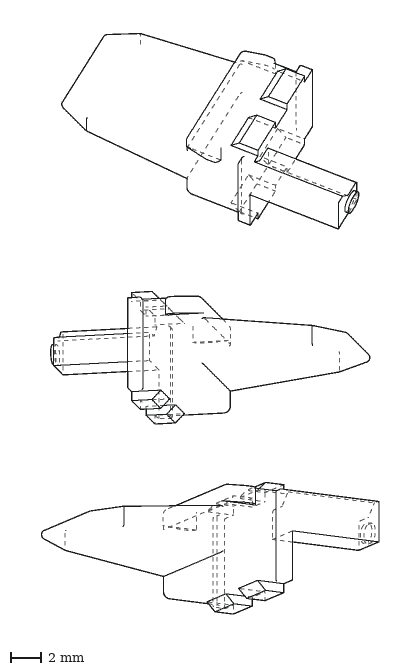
import cadquery as cq
import math

LENGTH = 21.6
FLANGE_WIDTH = 9.45
OVERALL_HEIGHT = 7.4
EDGE_RADIUS = 0.13
TOLERANCE = 0.002

BODY_WIDTH = 8.16
TIP_LENGTH = 2.3
TIP_WIDTH = 6.45
TIP_RADIUS = 0.3
BLADE_BREAK_HEIGHT = 1.38
BLADE_ROOT_HEIGHT = 3.22
BLADE_EMBEDDING = 1.08

BLOCK_START = 9.72
BLOCK_END = 14.77
BLOCK_HEIGHT = 6.18
BLOCK_TOP = BLOCK_HEIGHT / 2
BLOCK_FRONT_RADIUS = 0.48
FLANGE_START = 13.85

EAR_BOTTOM = 1.9
EAR_WIDTH = 8.9
EAR_FLAT_START = 11.38
EAR_FLAT_END = 12.1
EAR_END = 12.31
EAR_CORNER_RADIUS = 0.32

LATCH_LENGTH = 2.0
LATCH_WIDTH = 2.64
LATCH_SPACING = 4.38
LATCH_HEIGHT = (OVERALL_HEIGHT - BLOCK_HEIGHT) / 2

ARM_END = 21.35
ARM_OUTER_Y = -FLANGE_WIDTH / 2
ARM_WIDTH = 2.8
ARM_HEIGHT = 2.8
ARM_WALL = 0.65
ARM_LEDGE_DROP = 0.82
ARM_INNER_RADIUS = 0.25
ARM_GROOVE_RADIUS = 0.2

PAD_WIDTH = 1.6
PAD_HEIGHT = 1.35
PAD_Y = -2.94
PAD_Z = 1.25


def prism_from_plan(points, bottom, top):
    """Extrude a closed XY outline between two heights."""
    return cq.Workplane("XY").workplane(offset=bottom).polyline(points).close().extrude(top - bottom)


def mirrored_outline(half_outline):
    """Close a half outline by reflecting it about the X axis."""
    return half_outline + [(x, -y) for x, y in reversed(half_outline)]


def edge_at(x, y, z):
    """Select the edge whose middle is nearest to a point."""
    return cq.selectors.NearestToPointSelector((x, y, z))


def same_side_edges(body, wanted):
    """List the edges that stay on one side of Y = 0 and pass a test on their middle point."""
    return [
        edge for edge in body.edges().vals()
        if edge.startPoint().y * edge.endPoint().y > 0 and wanted(edge.positionAt(0.5))
    ]


def near(first, second):
    """Compare two coordinates within the tolerance."""
    return abs(first - second) < TOLERANCE


def make_blade_tip():
    """Narrowing front end of the blade with a fully rounded leading edge and rounded sides."""
    break_half = BLADE_BREAK_HEIGHT / 2
    nose_to_break = TIP_LENGTH - TIP_RADIUS
    nose_distance = math.hypot(nose_to_break, break_half)
    slope = math.atan2(break_half, nose_to_break) - math.asin(TIP_RADIUS / nose_distance)
    tangent_x = TIP_RADIUS * (1 - math.sin(slope))
    tangent_z = TIP_RADIUS * math.cos(slope)
    side = (
        cq.Workplane("XZ")
        .moveTo(TIP_LENGTH, break_half)
        .lineTo(tangent_x, tangent_z)
        .threePointArc((0, 0), (tangent_x, -tangent_z))
        .lineTo(TIP_LENGTH, -break_half)
        .close()
    )
    plan = mirrored_outline([(0, TIP_WIDTH / 2), (TIP_LENGTH, BODY_WIDTH / 2)])
    tip = side.extrude(BODY_WIDTH / 2, both=True).intersect(prism_from_plan(plan, -BLOCK_TOP, BLOCK_TOP))
    rim = same_side_edges(tip, lambda middle: not near(middle.x, TIP_LENGTH))
    return tip.newObject(rim).fillet(EDGE_RADIUS)


def make_blade_root():
    """Full-width rear of the blade with rounded sides, reaching a little way into the block."""
    root_end = BLOCK_START + BLADE_EMBEDDING
    side = mirrored_outline([
        (TIP_LENGTH, BLADE_BREAK_HEIGHT / 2),
        (BLOCK_START, BLADE_ROOT_HEIGHT / 2),
        (root_end, BLADE_ROOT_HEIGHT / 2),
    ])
    root = cq.Workplane("XZ").polyline(side).close().extrude(BODY_WIDTH / 2, both=True)
    rim = same_side_edges(root, lambda middle: TIP_LENGTH + TOLERANCE < middle.x < BLOCK_START)
    return root.newObject(rim).fillet(EDGE_RADIUS)


def make_block():
    """Block with ears near its top and a wider flange at its back, rounded along the outer edges."""
    plan = mirrored_outline([
        (BLOCK_START, BODY_WIDTH / 2),
        (FLANGE_START, BODY_WIDTH / 2),
        (FLANGE_START, FLANGE_WIDTH / 2),
        (BLOCK_END, FLANGE_WIDTH / 2),
    ])
    ear_plan = mirrored_outline([
        (BLOCK_START, BODY_WIDTH / 2),
        (EAR_FLAT_START, EAR_WIDTH / 2),
        (EAR_FLAT_END, EAR_WIDTH / 2),
        (EAR_END, BODY_WIDTH / 2),
    ])
    block = prism_from_plan(plan, -BLOCK_TOP, BLOCK_TOP)
    ears = prism_from_plan(ear_plan, EAR_BOTTOM, BLOCK_TOP)
    for y in (-EAR_WIDTH / 2, EAR_WIDTH / 2):
        ears = ears.edges(edge_at(EAR_FLAT_END, y, (EAR_BOTTOM + BLOCK_TOP) / 2)).fillet(EAR_CORNER_RADIUS)
    block = block.union(ears)
    for z in (-BLOCK_TOP, BLOCK_TOP):
        block = block.edges(edge_at(BLOCK_START, 0, z)).fillet(BLOCK_FRONT_RADIUS)

    def on_rim(middle):
        on_top_or_bottom = near(abs(middle.z), BLOCK_TOP)
        on_front = middle.x < BLOCK_START + BLOCK_FRONT_RADIUS
        on_flange_corner = near(middle.x, FLANGE_START) and near(abs(middle.y), FLANGE_WIDTH / 2)
        return on_top_or_bottom or on_front or on_flange_corner

    return block.newObject(same_side_edges(block, on_rim)).fillet(EDGE_RADIUS)


def make_arm():
    """Bar with a raised outer wall, a lower inner ledge and a 45 degree step between them."""
    wall_y = ARM_OUTER_Y + ARM_WALL
    ledge_z = BLOCK_TOP - ARM_LEDGE_DROP
    step_foot_y = wall_y + ARM_LEDGE_DROP
    section = [
        (ARM_OUTER_Y, BLOCK_TOP - ARM_HEIGHT),
        (ARM_OUTER_Y, BLOCK_TOP),
        (wall_y, BLOCK_TOP),
        (step_foot_y, ledge_z),
        (ARM_OUTER_Y + ARM_WIDTH, ledge_z),
        (ARM_OUTER_Y + ARM_WIDTH, BLOCK_TOP - ARM_HEIGHT),
    ]
    arm = cq.Workplane("YZ").workplane(offset=BLOCK_END).polyline(section).close()
    arm = arm.extrude(ARM_END - BLOCK_END)
    middle_x = (BLOCK_END + ARM_END) / 2
    arm = arm.edges(edge_at(middle_x, step_foot_y, ledge_z)).fillet(ARM_GROOVE_RADIUS)
    arm = arm.edges(edge_at(middle_x, ARM_OUTER_Y + ARM_WIDTH, ledge_z)).fillet(ARM_INNER_RADIUS)
    arm = arm.edges(edge_at(middle_x, ARM_OUTER_Y, BLOCK_TOP)).fillet(EDGE_RADIUS)
    return arm


def make_latches():
    """Four ramped teeth, one pair above and one pair below the block."""
    start = BLOCK_END - LATCH_LENGTH
    profile = [
        (start, BLOCK_TOP),
        (start + LATCH_HEIGHT, BLOCK_TOP + LATCH_HEIGHT),
        (BLOCK_END, BLOCK_TOP + LATCH_HEIGHT),
        (BLOCK_END, BLOCK_TOP),
    ]
    tooth = cq.Workplane("XZ").polyline(profile).close().extrude(LATCH_WIDTH / 2, both=True)
    upper = tooth.translate((0, LATCH_SPACING / 2, 0)).union(tooth.translate((0, -LATCH_SPACING / 2, 0)))
    return upper.union(upper.mirror("XY"))


def make_pad():
    """Low boss with rounded ends on the end face of the arm."""
    pad = cq.Workplane("YZ", origin=(ARM_END, PAD_Y, PAD_Z)).slot2D(PAD_WIDTH, PAD_HEIGHT)
    return pad.extrude(LENGTH - ARM_END)


result = make_block()
for feature in (make_blade_root(), make_blade_tip(), make_arm(), make_latches(), make_pad()):
    result = result.union(feature)